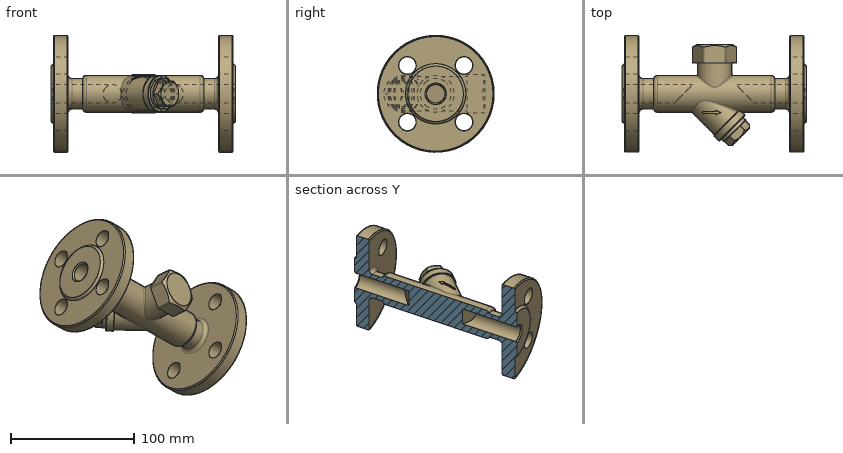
import cadquery as cq
import math

face_to_face = 150.0
flange_diameter = 95.0
flange_thickness = 12.0
flange_chamfer = 1.0
raised_face_height = 2.0
raised_face_diameter = 45.0
raised_face_base_diameter = raised_face_diameter + 2 * raised_face_height
bolt_circle_diameter = 65.0
bolt_hole_diameter = 14.0
bolt_count = 4
first_bolt_angle = 45.0

neck_diameter = 25.0
neck_fillet = 3.0
body_diameter = 30.0
body_length = 98.4
body_end_round = 3.0

bore_diameter = 15.0
bore_mouth_diameter = 17.3
bore_mouth_chamfer = (bore_mouth_diameter - bore_diameter) / 2
bore_depth = 50.0
bore_floor_angle = 45.0

cap_x = 0.25
cap_stem_diameter = 28.0
cap_hex_flats = 31.5
cap_hex_base = 25.25
cap_top = 40.1
cap_crown_diameter = 28.5
cap_bevel_angle = 30.0
cap_edge_round = 1.2

branch_angle = 45.0
branch_start_x = -13.3
branch_diameter = 28.0
collar_diameter = 30.0
collar_start = 32.9
collar_end = 39.4
collar_chamfer = 0.4
plug_shoulder_diameter = 25.0
plug_shoulder_end = 42.5
plug_end = 49.4
plug_hex_flats = 20.8
plug_crown_diameter = 20.2
plug_bevel_angle = 45.0

seam_fillet = 0.8

arrow_tail_x = -9.6
arrow_y = -15.2
arrow_length = 14.9
arrow_head_length = 3.9
arrow_shaft_width = 1.9
arrow_head_width = 3.8
arrow_height = 0.3

branch_lean = math.radians(branch_angle)

run_axis = cq.Plane((0, 0, 0), (0, 1, 0), (1, 0, 0))
cap_axis = cq.Plane((cap_x, 0, 0), (1, 0, 0), (0, 1, 0))
branch_axis = cq.Plane(
    (branch_start_x, 0, 0),
    (math.sin(branch_lean), math.cos(branch_lean), 0),
    (math.cos(branch_lean), -math.sin(branch_lean), 0),
)


def plane_at(plane, distance):
    """Workplane shifted along the plane's normal."""
    return cq.Workplane(plane).workplane(offset=distance)


def disc(plane, start, end, diameter):
    """Cylinder along the plane's normal between two distances from its origin."""
    return plane_at(plane, start).circle(diameter / 2).extrude(end - start)


def cone(plane, start, end, start_radius, end_radius):
    """Cone frustum along the plane's normal between two distances from its origin."""
    base = plane.origin + plane.zDir * start
    return cq.Workplane(obj=cq.Solid.makeCone(start_radius, end_radius, end - start, base, plane.zDir))


def hex_prism(plane, start, end, flats):
    """Hexagonal prism with two of its flats facing +Z and -Z."""
    return plane_at(plane, start).polygon(6, flats / math.cos(math.pi / 6)).extrude(end - start)


def crown(plane, start, end, crown_diameter, bevel_angle):
    """Turned envelope that bevels the outer end of a hexagon down to a round crown."""
    height = end - start
    crown_radius = crown_diameter / 2
    base_radius = crown_radius + height / math.tan(math.radians(bevel_angle))
    return cone(plane, start, end, base_radius, crown_radius)


def make_end():
    """Flange, raised face and neck of the -X end."""
    outer_x = -face_to_face / 2
    face_x = outer_x + raised_face_height
    back_x = face_x + flange_thickness
    neck_radius = neck_diameter / 2
    flange_radius = flange_diameter / 2
    profile = (
        cq.Workplane("XY")
        .moveTo(outer_x, 0)
        .lineTo(outer_x, raised_face_diameter / 2)
        .lineTo(face_x, raised_face_base_diameter / 2)
        .lineTo(face_x, flange_radius - flange_chamfer)
        .lineTo(face_x + flange_chamfer, flange_radius)
        .lineTo(back_x - flange_chamfer, flange_radius)
        .lineTo(back_x, flange_radius - flange_chamfer)
        .lineTo(back_x, neck_radius + neck_fillet)
        .radiusArc((back_x + neck_fillet, neck_radius), -neck_fillet)
        .lineTo(-body_length / 2 + body_end_round, neck_radius)
        .lineTo(-body_length / 2 + body_end_round, 0)
        .close()
    )
    end = profile.revolve(360, (0, 0, 0), (1, 0, 0))
    bolt_holes = (
        cq.Workplane("YZ", origin=(outer_x, 0, 0))
        .polarArray(bolt_circle_diameter / 2, first_bolt_angle, 360, bolt_count)
        .circle(bolt_hole_diameter / 2)
        .extrude(raised_face_height + flange_thickness)
    )
    return end.cut(bolt_holes)


def make_bore():
    """Bore entering from the -X end."""
    outer_x = -face_to_face / 2
    radius = bore_diameter / 2
    slant = radius * math.tan(math.radians(bore_floor_angle))
    floor_x = outer_x + bore_depth
    outline = (
        cq.Workplane("XY")
        .moveTo(outer_x, -radius)
        .lineTo(floor_x - slant, -radius)
        .lineTo(floor_x + slant, radius)
        .lineTo(outer_x, radius)
        .close()
        .extrude(radius, both=True)
    )
    bore = disc(run_axis, outer_x, floor_x + slant, bore_diameter).intersect(outline)
    mouth = cone(run_axis, outer_x, outer_x + bore_mouth_chamfer, bore_mouth_diameter / 2, radius)
    return bore.union(mouth)


def make_stem():
    return disc(cap_axis, 0, cap_hex_base, cap_stem_diameter)


def make_cap():
    hexagon = hex_prism(cap_axis, cap_hex_base, cap_top, cap_hex_flats)
    hexagon = hexagon.edges("|Y").fillet(cap_edge_round)
    envelope = crown(cap_axis, cap_hex_base, cap_top, cap_crown_diameter, cap_bevel_angle)
    return hexagon.intersect(envelope)


def make_branch():
    return disc(branch_axis, 0, collar_end, branch_diameter)


def make_plug():
    """Collar, round shoulder and hexagon that close the branch."""
    collar = disc(branch_axis, collar_start, collar_end, collar_diameter).edges().chamfer(collar_chamfer)
    shoulder = disc(branch_axis, collar_end, plug_shoulder_end, plug_shoulder_diameter)
    hexagon = hex_prism(branch_axis, plug_shoulder_end, plug_end, plug_hex_flats)
    envelope = crown(branch_axis, plug_shoulder_end, plug_end, plug_crown_diameter, plug_bevel_angle)
    return collar.union(shoulder).union(hexagon.intersect(envelope))


def make_arrow():
    """Arrow standing slightly proud of the branch's round surface."""
    neck_x = arrow_length - arrow_head_length
    shaft_half = arrow_shaft_width / 2
    head_half = arrow_head_width / 2
    arrow = (
        cq.Workplane("XY", origin=(arrow_tail_x, arrow_y, 0))
        .moveTo(0, -shaft_half)
        .lineTo(neck_x, -shaft_half)
        .lineTo(neck_x, -head_half)
        .lineTo(arrow_length, 0)
        .lineTo(neck_x, head_half)
        .lineTo(neck_x, shaft_half)
        .lineTo(0, shaft_half)
        .close()
        .extrude(branch_diameter)
    )
    return arrow.intersect(disc(branch_axis, 0, collar_start, branch_diameter + 2 * arrow_height))


def make_body():
    """Run pipe with the cap stem and the branch blended into it."""
    pipe = disc(run_axis, -body_length / 2, body_length / 2, body_diameter)
    pipe = pipe.edges().fillet(body_end_round)
    body = pipe.union(make_stem()).union(make_branch())
    reach = body_diameter / 2
    seam_box = cq.selectors.BoxSelector((-reach, -reach, -reach), (reach, reach, reach))
    return body.edges(seam_box).fillet(seam_fillet)


valve = make_body().union(make_cap()).union(make_plug()).union(make_arrow())
inlet = make_end()
inlet_bore = make_bore()
valve = valve.union(inlet).union(inlet.mirror("YZ"))
result = valve.cut(inlet_bore).cut(inlet_bore.mirror("YZ"))